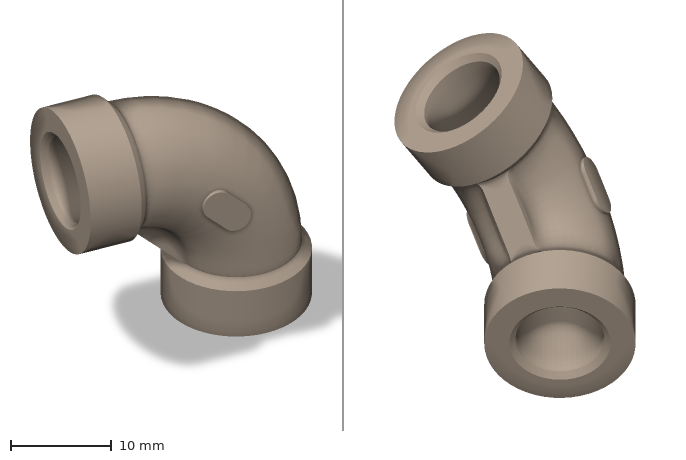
import cadquery as cq
import math

overall_length = 26.5
collar_diameter = 15.0
pipe_diameter = 13.0
bore_diameter = 8.8
mouth_chamfer = 0.6
collar_length = 5.5
web_thickness = 3.0
web_fillet = 1.0
pad_length = 6.02
pad_width = 3.1
pad_span = 13.65
pad_y = -3.95
pad_z = 15.42
pad_angle = 135

collar_radius = collar_diameter / 2
pipe_radius = pipe_diameter / 2
bore_radius = bore_diameter / 2
mouth_radius = bore_radius + mouth_chamfer
axis_reach = overall_length - collar_radius
collar_taper = collar_radius - pipe_radius
leg_length = collar_length + collar_taper
bend_radius = axis_reach - leg_length

lower_end = cq.Plane(origin=(0, 0, 0), xDir=(1, 0, 0), normal=(0, 0, 1))
side_end = cq.Plane(origin=(0, -axis_reach, axis_reach), xDir=(1, 0, 0), normal=(0, 1, 0))
end_planes = (lower_end, side_end)


def turned(plane, half_profile):
    """Revolve a (radius, distance from end face) outline about the branch axis."""
    branch_section = cq.Plane(origin=plane.origin, xDir=plane.xDir, normal=plane.xDir.cross(plane.zDir))
    return cq.Workplane(branch_section).polyline(half_profile).close().revolve(360, (0, 0), (0, 1))


def swung(profile):
    """Revolve a section at the top of the lower leg through the 90 degree bend."""
    return profile.revolve(90, (-0.26, -bend_radius), (0.26, -bend_radius))


def bend_section():
    return cq.Workplane("XY", origin=(0, 0, leg_length))


def collar(plane):
    return turned(plane, [
        (0, 0),
        (collar_radius, 0),
        (collar_radius, collar_length),
        (pipe_radius, leg_length),
        (0, leg_length),
    ])


def leg_bore(plane):
    return turned(plane, [
        (0, 0),
        (mouth_radius, 0),
        (bore_radius, mouth_chamfer),
        (bore_radius, leg_length),
        (0, leg_length),
    ])


def web():
    """Rib across the inside of the bend, blended into the pipe and cut flat at 45 degrees."""
    half_web = web_thickness / 2
    fillet_x = half_web + web_fillet
    fillet_y = -math.sqrt((pipe_radius + web_fillet) ** 2 - fillet_x ** 2)
    contact_ratio = pipe_radius / (pipe_radius + web_fillet)
    tangent_x = contact_ratio * fillet_x
    tangent_y = contact_ratio * fillet_y
    middle_angle = (math.pi + math.atan2(-fillet_y, -fillet_x)) / 2
    arc_x = fillet_x + web_fillet * math.cos(middle_angle)
    arc_y = fillet_y + web_fillet * math.sin(middle_angle)

    section = (
        bend_section()
        .moveTo(-half_web, -bend_radius)
        .lineTo(-half_web, fillet_y)
        .threePointArc((-arc_x, arc_y), (-tangent_x, tangent_y))
        .lineTo(0, 0)
        .lineTo(tangent_x, tangent_y)
        .threePointArc((arc_x, arc_y), (half_web, fillet_y))
        .lineTo(half_web, -bend_radius)
        .close()
    )
    kept_side = (
        cq.Workplane("YZ")
        .polyline([
            (-pipe_radius, leg_length),
            (-bend_radius, axis_reach - pipe_radius),
            (-bend_radius, axis_reach),
            (0, axis_reach),
            (0, leg_length),
        ])
        .close()
        .extrude(pipe_radius, both=True)
    )
    return swung(section).intersect(kept_side)


def pads():
    """Rounded pads on both flanks, lying along the 45 degree direction of the bend."""
    return (
        cq.Workplane("YZ", origin=(0, pad_y, pad_z))
        .slot2D(pad_length, pad_width, pad_angle)
        .extrude(pad_span / 2, both=True)
    )


body = swung(bend_section().circle(pipe_radius)).union(web()).union(pads())
bore = swung(bend_section().circle(bore_radius))
for end_plane in end_planes:
    body = body.union(collar(end_plane))
    bore = bore.union(leg_bore(end_plane))

result = body.cut(bore)